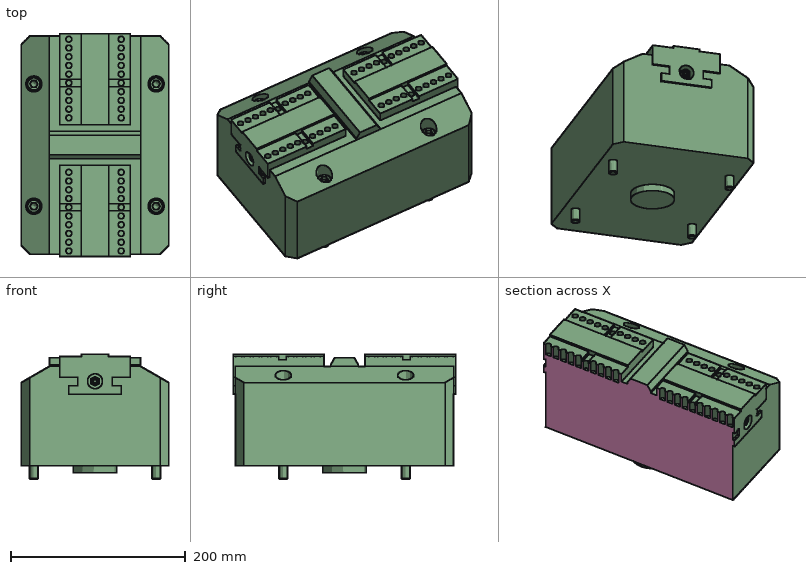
import cadquery as cq
import math

total_length = 255.0
pin_drop = 15.0
disc_drop = 8.0
disc_diameter = 50.0

block_width = 169.0
block_length = 250.0
block_top = 114.0
flat_width = 104.5
slope_angle = 30.0
corner_chamfer = 10.0

bar_width = 31.5
bar_foot = 2.0
bar_height = 10.0
bar_flank_angle = 60.0

jaw_length = 104.3
jaw_foot_bottom = 82.0
jaw_foot_top = 91.8
jaw_shoulder = 101.7
jaw_top = 125.5
pad_top = 128.0
jaw_foot_width = 60.2
jaw_neck_width = 40.0
jaw_width = 80.8
pad_width = 31.4

row_hole_diameter = 6.6
row_hole_depth = 15.0
row_hole_count = 10
row_length = 90.0
row_pitch = row_length / (row_hole_count - 1)
row_spacing = 60.0
first_hole_offset = 8.0
slot_hole_index = 4
slot_width = 8.5
slot_depth = 3.8

recess_diameter = 17.0
recess_depth = 15.3
recess_height = 97.0
spindle_flats = 9.2
spindle_setback = 2.0
spindle_tip_diameter = 7.1
spindle_chamfer_depth = 0.8
spindle_bore_diameter = 4.0
spindle_bore_depth = 2.0

screw_spacing = 140.0
counterbore_diameter = 18.0
head_diameter = 16.0
head_top = 94.4
head_height = 10.0
head_chamfer = 1.0
socket_flats = 8.0
socket_depth = 5.0
socket_point_angle = 118.0
pin_diameter = 10.0
pin_chamfer = 1.0


def hexagon_diameter(flats):
    """Corner-to-corner diameter of a hexagon from its width across flats."""
    return flats / math.cos(math.pi / 6)


def make_block():
    side_height = block_top - (block_width - flat_width) / 2 * math.tan(math.radians(slope_angle))
    profile = (
        cq.Workplane("XZ")
        .moveTo(-block_width / 2, 0)
        .lineTo(block_width / 2, 0)
        .lineTo(block_width / 2, side_height)
        .lineTo(flat_width / 2, block_top)
        .lineTo(-flat_width / 2, block_top)
        .lineTo(-block_width / 2, side_height)
        .close()
        .extrude(block_length / 2, both=True)
    )
    outline = (
        cq.Workplane("XY")
        .rect(block_width, block_length)
        .extrude(block_top)
        .edges("|Z")
        .chamfer(corner_chamfer)
    )
    return profile.intersect(outline)


def make_cross_bar():
    flank_run = (bar_height - bar_foot) / math.tan(math.radians(bar_flank_angle))
    half_top = bar_width / 2 - flank_run
    return (
        cq.Workplane("YZ")
        .moveTo(-bar_width / 2, 0)
        .lineTo(bar_width / 2, 0)
        .lineTo(bar_width / 2, block_top + bar_foot)
        .lineTo(half_top, block_top + bar_height)
        .lineTo(-half_top, block_top + bar_height)
        .lineTo(-bar_width / 2, block_top + bar_foot)
        .close()
        .extrude(flat_width / 2, both=True)
    )


def make_jaw():
    """T-shaped jaw on the -Y side."""
    steps = [
        (jaw_foot_width, jaw_foot_bottom, jaw_foot_top),
        (jaw_neck_width, jaw_foot_top, jaw_shoulder),
        (jaw_width, jaw_shoulder, jaw_top),
        (pad_width, jaw_top, pad_top),
    ]
    middle_y = (jaw_length - total_length) / 2
    jaw = cq.Workplane("XY")
    for width, bottom, top in steps:
        layer = cq.Workplane("XY", origin=(0, middle_y, bottom)).rect(width, jaw_length).extrude(top - bottom)
        jaw = jaw.union(layer)
    return jaw


def make_jaw_cuts():
    """Row holes and cross slots of the -Y jaw."""
    inner_end = jaw_length - total_length / 2
    hole_rows = [inner_end - first_hole_offset - row_pitch * i for i in range(row_hole_count)]
    sites = [(side * row_spacing / 2, y) for side in (-1, 1) for y in hole_rows]
    holes = (
        cq.Workplane("XY", origin=(0, 0, jaw_top))
        .pushPoints(sites)
        .circle(row_hole_diameter / 2)
        .extrude(-row_hole_depth)
    )
    slot_length = (jaw_width - pad_width) / 2
    slot_x = (jaw_width + pad_width) / 4
    slots = (
        cq.Workplane("XY", origin=(0, hole_rows[slot_hole_index], jaw_top))
        .pushPoints([(-slot_x, 0), (slot_x, 0)])
        .rect(slot_length, slot_width)
        .extrude(-slot_depth)
    )
    return holes.union(slots)


def make_recess():
    """End recess of the -Y jaw."""
    return (
        cq.Workplane("XZ", origin=(0, -total_length / 2, recess_height))
        .circle(recess_diameter / 2)
        .extrude(-recess_depth)
    )


def revolve_about_y(half_section):
    """Round solid about the Y axis from (radius, y) points."""
    return cq.Workplane("XY").polyline(half_section).close().revolve(360, (0, 0, 0), (0, 1, 0))


def make_spindle_end():
    """Chamfered hexagon with a centre bore, standing on the floor of the -Y recess."""
    length = recess_depth - spindle_setback
    corner_radius = hexagon_diameter(spindle_flats) / 2
    tip = cq.Workplane("XZ", origin=(0, spindle_setback - total_length / 2, recess_height))
    hexagon = (
        tip.transformed(rotate=(0, 0, 90))
        .polygon(6, 2 * corner_radius)
        .extrude(-length)
    )
    tip_radius = spindle_tip_diameter / 2
    bore_radius = spindle_bore_diameter / 2
    envelope = revolve_about_y(
        [
            (0, spindle_bore_depth),
            (bore_radius, spindle_bore_depth),
            (bore_radius, 0),
            (tip_radius, 0),
            (corner_radius, spindle_chamfer_depth),
            (corner_radius, length),
            (0, length),
        ]
    ).translate((0, spindle_setback - total_length / 2, recess_height))
    return hexagon.intersect(envelope)


def both_ends(shape):
    """The shape together with its mirror image at the +Y end."""
    return shape.union(shape.mirror("XZ"))


def make_screw():
    """Cap screw on the Z axis, from the head down to the tip below the block."""
    head_bottom = head_top - head_height
    head = (
        cq.Workplane("XY", origin=(0, 0, head_bottom))
        .circle(head_diameter / 2)
        .extrude(head_height)
        .faces(">Z")
        .chamfer(head_chamfer)
    )
    shank = (
        cq.Workplane("XY", origin=(0, 0, -pin_drop))
        .circle(pin_diameter / 2)
        .extrude(pin_drop + head_bottom)
        .faces("<Z")
        .chamfer(pin_chamfer)
    )
    socket = (
        cq.Workplane("XY", origin=(0, 0, head_top))
        .polygon(6, hexagon_diameter(socket_flats))
        .extrude(-socket_depth)
    )
    point_radius = socket_flats / 2
    point_depth = point_radius / math.tan(math.radians(socket_point_angle / 2))
    point = cq.Workplane(
        cq.Solid.makeCone(
            point_radius, 0, point_depth, cq.Vector(0, 0, head_top - socket_depth), cq.Vector(0, 0, -1)
        )
    )
    return head.union(shank).cut(socket).cut(point)


result = make_block().union(make_cross_bar())
result = result.union(both_ends(make_jaw()))
result = result.cut(both_ends(make_jaw_cuts()))
result = result.cut(both_ends(make_recess()))
result = result.union(both_ends(make_spindle_end()))

disc = cq.Workplane("XY").circle(disc_diameter / 2).extrude(-disc_drop)
result = result.union(disc)

screw_sites = [(x * screw_spacing / 2, y * screw_spacing / 2) for x in (-1, 1) for y in (-1, 1)]
counterbores = (
    cq.Workplane("XY", origin=(0, 0, head_top - head_height))
    .pushPoints(screw_sites)
    .circle(counterbore_diameter / 2)
    .extrude(block_top - head_top + head_height)
)
result = result.cut(counterbores)
for x, y in screw_sites:
    result = result.union(make_screw().translate((x, y, 0)))